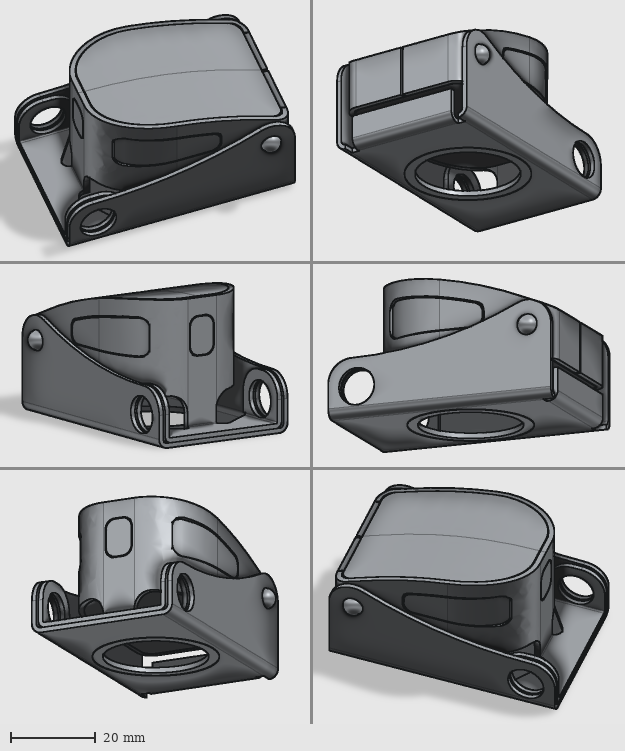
import cadquery as cq
import math

LENGTH = 56.85
SHEET = 1.2
OUTER_HALF = 18.5
OUTER_BEND = 2 * SHEET
REAR = LENGTH / 2
FRONT = -LENGTH / 2
CORNER_R = 6.0
WALL_FRONT_H = 14.2
PIVOT_Y = REAR - CORNER_R
PIVOT_Z = 18.0
LINK_HOLE_R = 4.5
LINK_HOLE_Y = -21.15
LINK_HOLE_Z = 7.15
FLOOR_HOLE_R = 12.5
FLOOR_HOLE_Y = 0.45
LIP_R = 15.0
LIP_H = 0.1
STOP_HALF = 14.1
STOP_TOP = 8.0
STOP_RELIEF = 2.85

CLEARANCE = 0.55
INNER_HALF = OUTER_HALF - SHEET - CLEARANCE
INNER_BEND = 1.6
INNER_FLOOR_TOP = 2 * SHEET
EAR_LENGTH = 14.2
TAB_HALF = 4.1
TAB_FACE = -19.45
END_WALL = 1.4
FLANK_FRONT = -0.75
SHELL_BOTTOM = 10.0
SHELL_CORNER_R = 3.6
WEB_R = 4.4
SEAM = 0.6
REAR_RIM_HALF = 12.5
SLOT_R = 1.9
TAB_ROOT_FILLET = 0.2

CROWN_R = 100.4
CROWN_Y = TAB_FACE + END_WALL
CROWN_TOP = 33.15
CROWN_STEPS = 20
CROWN_STRAIGHT_Y = 19.35

WINDOW_BOTTOM = 19.05
SIDE_WINDOW_FRONT = -15.25
SIDE_WINDOW_REAR = 10.65
WINDOW_BELOW_CROWN = 4.2
WINDOW_CORNER_R = 2.5
FRONT_WINDOW_HALF = 3.5
FRONT_WINDOW_TOP = 28.75
PAD_GAP = 0.2
PAD_RECESS = 1.25
PAD_WIDE_GAP = 0.4

INSERT_GAP = 0.15
INSERT_CORNER_R = 2.85
AXLE_R = 1.5
DOME_R = 2.55
DOME_TIP = 20.5

SIDES = (-1, 1)


def box(x0, x1, y0, y1, z0, z1):
    return cq.Workplane("XY").box(x1 - x0, y1 - y0, z1 - z0, centered=False).translate((x0, y0, z0))


def cross_bore(radius, y, z):
    """Cylinder along X that reaches past both side walls."""
    return cq.Workplane("YZ").center(y, z).circle(radius).extrude(LENGTH / 2, both=True)


def channel(half_width, bottom, bend_radius, height, y0, y1):
    """U-shaped bent sheet with its two lower edges rounded inside and out."""
    def block(half, z, radius):
        solid = box(-half, half, y0, y1, z, height)
        return solid.edges("|Y and <Z").fillet(radius)

    outside = block(half_width, bottom, bend_radius)
    return outside.cut(block(half_width - SHEET, bottom + SHEET, bend_radius - SHEET))


def side_wall_profile():
    """Side outline: low front, high rear, joined by a concave arc tangent to both."""
    rise = PIVOT_Z - WALL_FRONT_H
    front_y = FRONT + CORNER_R
    run = PIVOT_Y - front_y
    sweep_r = (run**2 + rise**2 - CORNER_R**2) / (2 * (CORNER_R + rise))
    sweep_z = WALL_FRONT_H + sweep_r
    angle = math.asin(run / (sweep_r + CORNER_R))

    def on_sweep(a):
        return (front_y + sweep_r * math.sin(a), sweep_z - sweep_r * math.cos(a))

    diag = CORNER_R * math.sqrt(0.5)
    return (
        cq.Workplane("YZ")
        .moveTo(FRONT, -LIP_H)
        .lineTo(FRONT, WALL_FRONT_H - CORNER_R)
        .threePointArc((front_y - diag, WALL_FRONT_H - CORNER_R + diag), (front_y, WALL_FRONT_H))
        .threePointArc(on_sweep(angle / 2), on_sweep(angle))
        .threePointArc((PIVOT_Y, PIVOT_Z + CORNER_R), (REAR, PIVOT_Z))
        .lineTo(REAR, -LIP_H)
        .close()
        .extrude(OUTER_HALF, both=True)
    )


def rear_stop():
    """Upright plate folded up from the floor between the two notches."""
    start = REAR - STOP_RELIEF
    outside = box(-STOP_HALF, STOP_HALF, start, REAR, 0, STOP_TOP)
    outside = outside.edges("|X and >Y and <Z").fillet(OUTER_BEND)
    inside = box(-STOP_HALF, STOP_HALF, start, REAR - SHEET, SHEET, STOP_TOP)
    inside = inside.edges("|X and >Y and <Z").fillet(OUTER_BEND - SHEET)
    return outside.cut(inside)


def make_outer_channel():
    body = channel(OUTER_HALF, 0, OUTER_BEND, PIVOT_Z + CORNER_R, FRONT, REAR)
    body = body.intersect(side_wall_profile())
    floor_half = OUTER_HALF - OUTER_BEND
    body = body.cut(box(-floor_half, floor_half, REAR - STOP_RELIEF, REAR, 0, SHEET))
    body = body.union(rear_stop())
    lip = cq.Workplane("XY").center(0, FLOOR_HOLE_Y).circle(LIP_R).extrude(-LIP_H)
    floor_hole = (
        cq.Workplane("XY", origin=(0, FLOOR_HOLE_Y, -LIP_H)).circle(FLOOR_HOLE_R).extrude(SHEET + LIP_H)
    )
    body = body.union(lip).cut(floor_hole)
    body = body.cut(cross_bore(LINK_HOLE_R, LINK_HOLE_Y, LINK_HOLE_Z))
    return body.cut(cross_bore(AXLE_R, PIVOT_Y, PIVOT_Z))


def plan_prism(half_width, front, rear, corner_radius):
    """Upright prism: flat front, elliptical nose flanks, straight sides, rounded rear corners."""
    nose_x = half_width - TAB_HALF
    nose_y = FLANK_FRONT - front

    prism = (
        cq.Workplane("XY", origin=(0, 0, SHEET))
        .moveTo(-TAB_HALF, front)
        .lineTo(TAB_HALF, front)
        .ellipseArc(nose_x, nose_y, 270, 360, startAtCurrent=True)
        .lineTo(half_width, rear)
        .lineTo(-half_width, rear)
        .lineTo(-half_width, FLANK_FRONT)
        .ellipseArc(nose_x, nose_y, 180, 270, startAtCurrent=True)
        .close()
        .extrude(CROWN_TOP)
    )
    return prism.edges("|Z and >Y").fillet(corner_radius)


def crown_height(y, drop=0.0):
    """Height of the crown: an arc that runs on as a tangent slope towards the rear."""
    arc_y = min(y, CROWN_STRAIGHT_Y) - CROWN_Y
    arc_rise = math.sqrt(CROWN_R**2 - arc_y**2)
    slope_fall = max(y - CROWN_STRAIGHT_Y, 0) * arc_y / arc_rise
    return CROWN_TOP - drop - CROWN_R + arc_rise - slope_fall


def below_crown():
    """Everything under the crown, with one smooth curve along its top."""
    step = (REAR - FRONT) / CROWN_STEPS
    stations = [FRONT + i * step for i in range(CROWN_STEPS + 1)]
    return (
        cq.Workplane("YZ")
        .moveTo(FRONT, 0)
        .lineTo(FRONT, crown_height(FRONT))
        .spline([(y, crown_height(y)) for y in stations[1:]], includeCurrent=True)
        .lineTo(REAR, 0)
        .close()
        .extrude(OUTER_HALF, both=True)
    )


def window_end_cutter(front):
    """Wedges that turn the front end of both side windows square to the curved wall."""
    nose_x = INNER_HALF - TAB_HALF
    nose_y = FLANK_FRONT - TAB_FACE
    sine = (FLANK_FRONT - front) / nose_y
    cosine = math.sqrt(1 - sine**2)
    edge_x = TAB_HALF + nose_x * cosine
    depth_x = 2 * SHEET
    depth_y = depth_x * (sine / nose_y) / (cosine / nose_x)
    outline = [
        (edge_x, front),
        (edge_x - depth_x, front + depth_y),
        (depth_x - edge_x, front + depth_y),
        (-edge_x, front),
    ]
    return cq.Workplane("XY").polyline(outline).close().extrude(CROWN_TOP)


def side_window(wide_inset=0.0, inset=0.0):
    """Openings through both flanks; their upper edges follow the crown."""
    front = SIDE_WINDOW_FRONT + inset
    rear = SIDE_WINDOW_REAR - wide_inset
    bottom = WINDOW_BOTTOM + inset
    drop = WINDOW_BELOW_CROWN + wide_inset
    middle = (front + rear) / 2
    prism = (
        cq.Workplane("YZ")
        .moveTo(front, bottom)
        .lineTo(front, crown_height(front, drop))
        .threePointArc((middle, crown_height(middle, drop)), (rear, crown_height(rear, drop)))
        .lineTo(rear, bottom)
        .close()
        .extrude(OUTER_HALF, both=True)
    )
    prism = prism.edges("|X").fillet(WINDOW_CORNER_R - inset)
    return prism.cut(window_end_cutter(front))


def front_window(inset=0.0):
    """Prism along Y through the flat front."""
    half = FRONT_WINDOW_HALF - inset
    prism = box(-half, half, FRONT, FLANK_FRONT, WINDOW_BOTTOM + inset, FRONT_WINDOW_TOP - inset)
    return prism.edges("|Y").fillet(WINDOW_CORNER_R - inset)


def shell_envelope():
    return plan_prism(INNER_HALF, TAB_FACE, REAR, SHELL_CORNER_R).intersect(below_crown())


def skirt_opening(side):
    """Space under the shell beside the tab, rounded where the shell flares into the tab."""
    opening = box(TAB_HALF, OUTER_HALF, FRONT, FLANK_FRONT, 0, SHELL_BOTTOM)
    opening = opening.edges("|Y and <X and >Z").fillet(WEB_R)
    return opening if side > 0 else opening.mirror("YZ")


def make_shell():
    cavity = plan_prism(INNER_HALF - SHEET, TAB_FACE + END_WALL, REAR - END_WALL, SHELL_CORNER_R - SHEET)
    body = shell_envelope().cut(cavity)
    body = body.cut(box(-OUTER_HALF, OUTER_HALF, FLANK_FRONT, REAR, 0, SHELL_BOTTOM))
    for side in SIDES:
        body = body.cut(skirt_opening(side))
    body = body.cut(
        box(-REAR_RIM_HALF, REAR_RIM_HALF, REAR - END_WALL, REAR, crown_height(REAR), CROWN_TOP)
    )
    body = body.cut(box(-SEAM / 2, SEAM / 2, REAR - END_WALL, REAR, 0, CROWN_TOP))
    body = body.cut(side_window()).cut(front_window())
    return body.cut(cross_bore(AXLE_R, PIVOT_Y, PIVOT_Z))


def ear_profile():
    outline = box(-INNER_HALF, INNER_HALF, FRONT, FRONT + EAR_LENGTH, 0, WALL_FRONT_H)
    return outline.edges("|X and >Z").fillet(CORNER_R)


def floor_relief(side):
    """Cut beside the tab: a round slot end with a slanted edge running out to the ear."""
    slot_x = TAB_HALF + SLOT_R
    ear_x = INNER_HALF
    ear_y = FRONT + EAR_LENGTH
    dx = ear_x - slot_x
    dy = ear_y - TAB_FACE
    normal = math.atan2(dy, dx) - math.acos(SLOT_R / math.hypot(dx, dy))
    tangent = (slot_x + SLOT_R * math.cos(normal), TAB_FACE + SLOT_R * math.sin(normal))
    relief = (
        cq.Workplane("XY")
        .moveTo(TAB_HALF, ear_y)
        .lineTo(TAB_HALF, TAB_FACE)
        .threePointArc((slot_x, TAB_FACE - SLOT_R), tangent)
        .lineTo(ear_x, ear_y)
        .close()
        .extrude(SHEET + INNER_BEND)
    )
    return relief if side > 0 else relief.mirror("YZ")


def make_inner_stamping():
    base = channel(INNER_HALF, SHEET, INNER_BEND, WALL_FRONT_H, FRONT, FRONT + EAR_LENGTH)
    base = base.intersect(ear_profile())
    for side in SIDES:
        base = base.cut(floor_relief(side))
    base = base.cut(box(-TAB_HALF, TAB_HALF, TAB_FACE + END_WALL, REAR, 0, INNER_FLOOR_TOP))
    base = base.cut(cross_bore(LINK_HOLE_R, LINK_HOLE_Y, LINK_HOLE_Z))
    body = base.union(make_shell())
    tab_root = cq.selectors.BoxSelector(
        (-TAB_HALF, TAB_FACE - TAB_ROOT_FILLET, INNER_FLOOR_TOP - TAB_ROOT_FILLET),
        (TAB_HALF, TAB_FACE + TAB_ROOT_FILLET, INNER_FLOOR_TOP + TAB_ROOT_FILLET),
    )
    return body.edges("|X").edges(tab_root).fillet(TAB_ROOT_FILLET)


def domed_axle():
    """Axle with a domed head outside each wall, revolved about its own axis."""
    ball_x = DOME_TIP - DOME_R
    head_r = math.sqrt(DOME_R**2 - (OUTER_HALF - ball_x) ** 2)
    dome_x = ball_x + DOME_R * math.sqrt(0.5)
    dome_r = DOME_R * math.sqrt(0.5)
    return (
        cq.Workplane("XY")
        .moveTo(-DOME_TIP, 0)
        .threePointArc((-dome_x, dome_r), (-OUTER_HALF, head_r))
        .lineTo(-OUTER_HALF, AXLE_R)
        .lineTo(OUTER_HALF, AXLE_R)
        .lineTo(OUTER_HALF, head_r)
        .threePointArc((dome_x, dome_r), (DOME_TIP, 0))
        .close()
        .revolve(360, (0, 0, 0), (1, 0, 0))
        .translate((0, PIVOT_Y, PIVOT_Z))
    )


def make_insert():
    """Block filling the shell, with pads in the windows and a domed axle through the walls."""
    body = plan_prism(
        INNER_HALF - SHEET,
        TAB_FACE + END_WALL + INSERT_GAP,
        REAR - END_WALL - INSERT_GAP,
        INSERT_CORNER_R,
    ).intersect(below_crown())
    pad_limit = plan_prism(INNER_HALF, TAB_FACE + PAD_RECESS, REAR, SHELL_CORNER_R)
    side_pads = side_window(PAD_WIDE_GAP, PAD_GAP).intersect(pad_limit)
    front_pad = front_window(PAD_GAP).intersect(shell_envelope())
    body = body.union(side_pads).union(front_pad)
    body = body.cut(box(-OUTER_HALF, OUTER_HALF, FRONT, REAR, 0, SHELL_BOTTOM))
    return body.union(domed_axle())


outer_channel = make_outer_channel()
inner_stamping = make_inner_stamping()
insert = make_insert()

result = cq.Compound.makeCompound([outer_channel.val(), inner_stamping.val(), insert.val()])